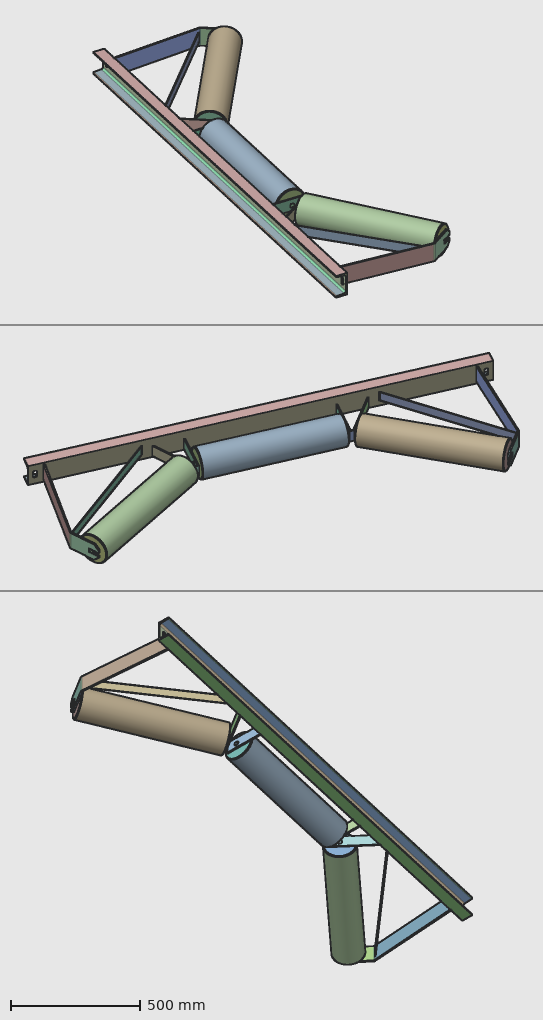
import cadquery as cq
import math

BEAM_LENGTH = 1900.0
BEAM_HEIGHT = 99.0
BEAM_DEPTH = 50.0
WEB_THICKNESS = 5.0
FLANGE_TIP = 6.6
FLANGE_ROOT = 10.0
ROOT_FILLET = 8.5
TIP_FILLET = 4.0
MOUNT_SLOT_X = 922.0
MOUNT_SLOT_WIDTH = 17.0
MOUNT_SLOT_HEIGHT = 35.0

ROLLER_LENGTH = 600.0
HALF_ROLLER = ROLLER_LENGTH / 2
ROLLER_RADIUS = 66.0
ROLLER_CHAMFER = 4.0
AXLE_DIAMETER = 19.0
AXLE_FLATS = 17.0
AXLE_OVERHANG = 13.0
HALF_AXLE = HALF_ROLLER + AXLE_OVERHANG

TROUGH_ANGLE = 35.0
TILT_ANGLE = 1.9
CENTRE_AXIS_Y = 167.0
CENTRE_AXIS_Z = -23.0
WING_X = 602.0
WING_Y = 357.0
WING_Z = -13.0

END_GAP = 8.0
PLATE_INSIDE = HALF_ROLLER + END_GAP

POST_PLATE = 8.0
POST_WIDTH = 80.0
POST_FOOT_X = 880.0
POST_OUTSIDE = PLATE_INSIDE + POST_PLATE
POST_RISE = 38.0
POST_DROP = 99.0
POST_LENGTH = POST_RISE + POST_DROP
BEND_RADIUS = 5.0
TIP_CHAMFER = 20.0

INNER_PLATE = 5.0
INNER_WIDTH = 53.0
INNER_MIDDLE_Z = -19.0
INNER_TOP_Y = 215.0
INNER_OUTSIDE = PLATE_INSIDE + INNER_PLATE

BRACE_THICKNESS = 4.0
BRACE_WIDTH = 44.0
BRACE_FOOT_X = 483.0
BRACE_DROP = 4.0

SLOPE = math.radians(TROUGH_ANGLE)
ALONG = (-math.cos(SLOPE), math.sin(SLOPE))
UP = (math.sin(SLOPE), math.cos(SLOPE))


def wing_point(along, up):
    """XY point at the given distances from the middle of the left wing roller."""
    x = -WING_X + along * ALONG[0] + up * UP[0]
    y = WING_Y + along * ALONG[1] + up * UP[1]
    return (x, y)


def slope_point(along, y):
    """XY point at height y on the line square to the left wing axis."""
    level = wing_point(along, 0)[1]
    return wing_point(along, (y - level) / UP[1])


POST_BEND = wing_point(PLATE_INSIDE, -POST_DROP)
POST_FOOT = (-POST_FOOT_X, BEAM_DEPTH)


def plate_prism(points, width, middle_z=0):
    """Closed XY outline given a width along Z, centred on middle_z."""
    base = cq.Workplane("XY", origin=(0, 0, middle_z - width / 2))
    return base.polyline(points).close().extrude(width)


def place_on_centre(body):
    return body.translate((0, CENTRE_AXIS_Y, CENTRE_AXIS_Z))


def place_on_left_wing(body):
    """Move a body that lies along X onto the tilted axis of the left wing."""
    tilted = body.rotate((0, 0, 0), (0, 1, 0), TILT_ANGLE)
    sloped = tilted.rotate((0, 0, 0), (0, 0, 1), -TROUGH_ANGLE)
    return sloped.translate((-WING_X, WING_Y, WING_Z))


def make_beam():
    """Rolled channel with tapered flanges and a mounting slot near each end."""
    half = BEAM_HEIGHT / 2
    web_front = BEAM_DEPTH - WEB_THICKNESS
    profile = [
        (0, half),
        (BEAM_DEPTH, half),
        (BEAM_DEPTH, -half),
        (0, -half),
        (0, FLANGE_TIP - half),
        (web_front, FLANGE_ROOT - half),
        (web_front, half - FLANGE_ROOT),
        (0, half - FLANGE_TIP),
    ]
    base = cq.Workplane("YZ", origin=(-BEAM_LENGTH / 2, 0, 0))
    beam = base.polyline(profile).close().extrude(BEAM_LENGTH)
    for side in (-1, 1):
        root = (0, web_front, side * (half - FLANGE_ROOT))
        tip = (0, 0, side * (half - FLANGE_TIP))
        beam = beam.edges(cq.NearestToPointSelector(root)).fillet(ROOT_FILLET)
        beam = beam.edges(cq.NearestToPointSelector(tip)).fillet(TIP_FILLET)
    slots = (
        cq.Workplane("XZ")
        .pushPoints([(-MOUNT_SLOT_X, 0), (MOUNT_SLOT_X, 0)])
        .slot2D(MOUNT_SLOT_HEIGHT, MOUNT_SLOT_WIDTH, 90)
        .extrude(-BEAM_DEPTH)
    )
    return beam.cut(slots)


def make_axle():
    """Axle along X with a flat above and a flat below."""
    base = cq.Workplane("YZ", origin=(-HALF_AXLE, 0, 0))
    bar = base.circle(AXLE_DIAMETER / 2).extrude(2 * HALF_AXLE)
    between_flats = cq.Workplane("XY").box(2 * HALF_AXLE, AXLE_DIAMETER, AXLE_FLATS)
    return bar.intersect(between_flats)


def make_roller():
    """Roller and its axle as one solid along X, centred on the origin."""
    base = cq.Workplane("YZ", origin=(-HALF_ROLLER, 0, 0))
    drum = base.circle(ROLLER_RADIUS).extrude(ROLLER_LENGTH).edges().chamfer(ROLLER_CHAMFER)
    return drum.union(make_axle())


def make_outer_bracket():
    """Left post: a leaning leg bent into a plate that holds the axle in an open slot."""
    outer_bend = wing_point(POST_OUTSIDE, -POST_DROP)
    bracket = plate_prism(
        [
            wing_point(PLATE_INSIDE, POST_RISE),
            wing_point(POST_OUTSIDE, POST_RISE),
            outer_bend,
            (-POST_FOOT_X - POST_PLATE, BEAM_DEPTH),
            POST_FOOT,
            POST_BEND,
        ],
        POST_WIDTH,
    )
    inner_edge = cq.NearestToPointSelector((*POST_BEND, 0))
    outer_edge = cq.NearestToPointSelector((*outer_bend, 0))
    bracket = bracket.edges(inner_edge).fillet(BEND_RADIUS)
    bracket = bracket.edges(outer_edge).fillet(BEND_RADIUS + POST_PLATE)

    tip_middle = wing_point((PLATE_INSIDE + POST_OUTSIDE) / 2, POST_RISE)
    for side in (-1, 1):
        tip_corner = cq.NearestToPointSelector((*tip_middle, side * POST_WIDTH / 2))
        bracket = bracket.edges(tip_corner).chamfer(TIP_CHAMFER)

    slot_depth = POST_PLATE + 2 * END_GAP
    axle_slot = (
        cq.Workplane("XY")
        .box(slot_depth, POST_LENGTH, AXLE_FLATS, centered=(False, False, True))
        .translate((-HALF_ROLLER - slot_depth, -AXLE_DIAMETER / 2, 0))
    )
    return bracket.cut(place_on_left_wing(axle_slot))


def make_inner_bracket():
    """Left inverted V: a sloped plate, a short flat bridge and an upright plate."""
    near = -PLATE_INSIDE
    far = -INNER_OUTSIDE
    underside_y = INNER_TOP_Y - INNER_PLATE
    bracket = plate_prism(
        [
            slope_point(near, BEAM_DEPTH),
            slope_point(near, INNER_TOP_Y),
            (near, INNER_TOP_Y),
            (near, BEAM_DEPTH),
            (far, BEAM_DEPTH),
            (far, underside_y),
            slope_point(far, underside_y),
            slope_point(far, BEAM_DEPTH),
        ],
        INNER_WIDTH,
        INNER_MIDDLE_Z,
    )
    bracket = bracket.cut(place_on_centre(make_axle()))
    return bracket.cut(place_on_left_wing(make_axle()))


def make_brace():
    """Thin strut from just under the bend of the left post down to the channel."""
    leg_angle = math.atan2(POST_FOOT[1] - POST_BEND[1], POST_FOOT[0] - POST_BEND[0])

    def leg_point(distance):
        """Point on the inner side of the leg, measured down from the bend."""
        x = POST_BEND[0] + distance * math.cos(leg_angle)
        y = POST_BEND[1] + distance * math.sin(leg_angle)
        return (x, y)

    top = leg_point(BRACE_DROP)
    brace_angle = math.atan2(BEAM_DEPTH - top[1], -BRACE_FOOT_X - top[0])
    leg_contact = BRACE_THICKNESS / math.sin(brace_angle - leg_angle)
    foot_contact = BRACE_THICKNESS / math.sin(-brace_angle)
    return plate_prism(
        [
            top,
            (-BRACE_FOOT_X, BEAM_DEPTH),
            (-BRACE_FOOT_X - foot_contact, BEAM_DEPTH),
            leg_point(BRACE_DROP + leg_contact),
        ],
        BRACE_WIDTH,
    )


def both_sides(left_body):
    """The left body and its mirror image on the right, as separate solids."""
    return [left_body.val(), left_body.mirror("YZ").val()]


beam = make_beam()
centre_roller = place_on_centre(make_roller())
left_wing_roller = place_on_left_wing(make_roller())

bodies = [beam.val(), centre_roller.val()]
for left_body in (left_wing_roller, make_outer_bracket(), make_inner_bracket(), make_brace()):
    bodies += both_sides(left_body)

result = cq.Compound.makeCompound(bodies)